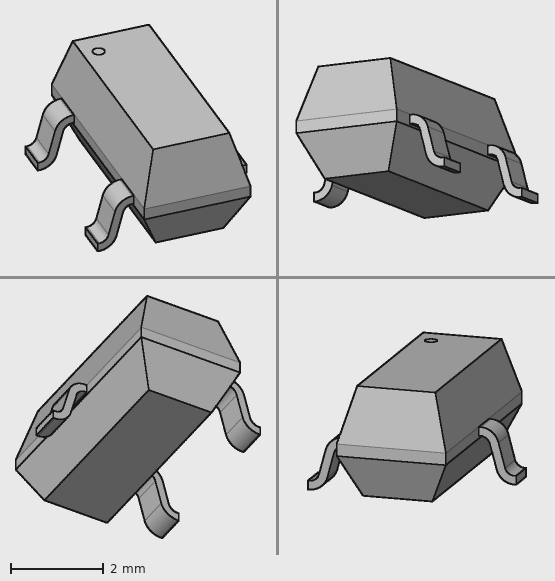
import cadquery as cq
import math

LENGTH = 5.41
DEPTH = 2.49
HEIGHT = 2.49
BELT_BOTTOM = 0.975
BELT_TOP = 1.25
TOP_INSET = 0.35
BOTTOM_INSET = 0.455

OVERALL_DEPTH = 4.19
LEAD_WIDTH = 0.72
LEAD_THICKNESS = 0.2
LEAD_TOP = 1.235
LEAD_OFFSET = 1.755
INNER_RADIUS = 0.22
LEG_ANGLE = math.radians(75)

MARK_DIAMETER = 0.27
MARK_X = -LEAD_OFFSET
MARK_Y = -0.525
MARK_DEPTH = 0.055


def tapered_block(z_bottom, inset_bottom, z_top, inset_top):
    """Loft between two rectangles inset from the housing outline."""
    return (
        cq.Workplane("XY")
        .workplane(offset=z_bottom)
        .rect(LENGTH - 2 * inset_bottom, DEPTH - 2 * inset_bottom)
        .workplane(offset=z_top - z_bottom)
        .rect(LENGTH - 2 * inset_top, DEPTH - 2 * inset_top)
        .loft(ruled=True)
    )


def make_marker():
    return (
        cq.Workplane("XY")
        .workplane(offset=HEIGHT - MARK_DEPTH)
        .center(MARK_X, MARK_Y)
        .circle(MARK_DIAMETER / 2)
        .extrude(MARK_DEPTH)
    )


def make_housing():
    lower = tapered_block(0, BOTTOM_INSET, BELT_BOTTOM, 0)
    belt = tapered_block(BELT_BOTTOM, 0, BELT_TOP, 0)
    upper = tapered_block(BELT_TOP, 0, HEIGHT, TOP_INSET)
    return lower.union(belt).union(upper).cut(make_marker())


def make_lead(x_center, side):
    """Bent strip leaving the housing toward -Y (side -1) or +Y (side 1)."""
    bend_radius = INNER_RADIUS + LEAD_THICKNESS / 2
    bend_run = bend_radius * math.sin(LEG_ANGLE)
    bend_drop = bend_radius * (1 - math.cos(LEG_ANGLE))
    leg_drop = LEAD_TOP - LEAD_THICKNESS - 2 * bend_drop
    leg_run = leg_drop / math.tan(LEG_ANGLE)
    reach = (OVERALL_DEPTH - DEPTH) / 2
    flat = (reach - 2 * bend_run - leg_run) / 2

    y_start = DEPTH / 2
    y_end = OVERALL_DEPTH / 2
    shoulder_y = y_start + flat
    toe_y = y_end - flat
    outer_radius = INNER_RADIUS + LEAD_THICKNESS
    shoulder_z = LEAD_TOP - outer_radius
    toe_z = outer_radius

    def upper_bend(radius, angle):
        y = shoulder_y + radius * math.sin(angle)
        return side * y, shoulder_z + radius * math.cos(angle)

    def lower_bend(radius, angle):
        y = toe_y - radius * math.sin(angle)
        return side * y, toe_z - radius * math.cos(angle)

    half_angle = LEG_ANGLE / 2
    profile = (
        cq.Workplane("YZ")
        .workplane(offset=x_center)
        .moveTo(side * y_start, LEAD_TOP)
        .lineTo(*upper_bend(outer_radius, 0))
        .threePointArc(upper_bend(outer_radius, half_angle), upper_bend(outer_radius, LEG_ANGLE))
        .lineTo(*lower_bend(INNER_RADIUS, LEG_ANGLE))
        .threePointArc(lower_bend(INNER_RADIUS, half_angle), lower_bend(INNER_RADIUS, 0))
        .lineTo(side * y_end, LEAD_THICKNESS)
        .lineTo(side * y_end, 0)
        .lineTo(*lower_bend(outer_radius, 0))
        .threePointArc(lower_bend(outer_radius, half_angle), lower_bend(outer_radius, LEG_ANGLE))
        .lineTo(*upper_bend(INNER_RADIUS, LEG_ANGLE))
        .threePointArc(upper_bend(INNER_RADIUS, half_angle), upper_bend(INNER_RADIUS, 0))
        .lineTo(side * y_start, LEAD_TOP - LEAD_THICKNESS)
        .close()
    )
    return profile.extrude(LEAD_WIDTH / 2, both=True)


housing = make_housing()
marker = make_marker()

lead_places = [(-LEAD_OFFSET, -1), (LEAD_OFFSET, -1), (0, 1)]
leads = [make_lead(x_center, side) for x_center, side in lead_places]

result = cq.Compound.makeCompound(
    [housing.val(), marker.val(), *[lead.val() for lead in leads]]
)